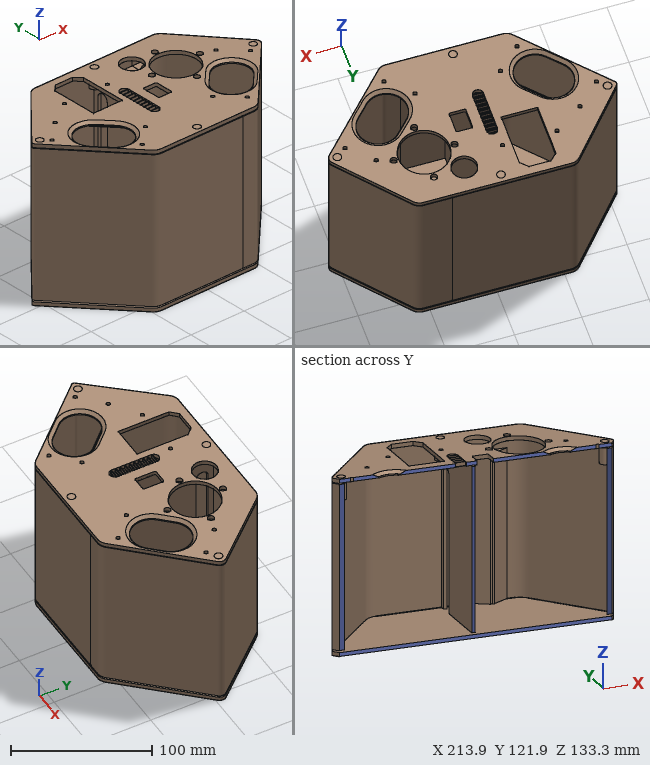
import cadquery as cq
import math

depth_y = 121.86
height_z = 133.29
rear_y = depth_y / 2
front_y = -rear_y

plate_thickness = 3.175
shell_height = 125.0
top_gap = 0.65
top_plate_z = height_z - plate_thickness
shell_top_z = top_plate_z - top_gap
shell_z = shell_top_z - shell_height

rear_half_width = 59.2
front_half_width = 47.3
right_tip_x = 108.714
left_tip_x = -107.707
tip_y = 4.65
right_tip_radius = 5.0
left_tip_radius = 2.2
corner_radius = 9.0

wall = 3.0
inner_rear_radius = 14.3
inner_front_radius = corner_radius - wall
inner_tip_radius = right_tip_radius - wall
seam_x = 33.5

divider_x = -2.5
divider_thickness = 2.7
divider_slot_width = 10.0
divider_slot_y = 48.6
divider_slot_top_z = 113.1

lug_top_z = height_z - 15.6
lug_depth = 7.0
lug_root_width = 14.0
lug_tip_width = 1.5

post_diameter = 6.15
boss_diameter = 8.0
boss_bottom_z = height_z - 16.5
left_tip_post_x = -100.1
right_tip_post_x = 100.7
tip_post_y = 4.8
middle_post_x = -4.6
middle_post_y = 54.9
left_post_centers = [
    (left_tip_post_x, tip_post_y),
    (middle_post_x, middle_post_y),
    (middle_post_x, -middle_post_y),
]
right_post_centers = [(right_tip_post_x, tip_post_y)]

port_mirror_x = -0.3
port_offset = 60.1
port_y = -18.5
port_angle = 46.6
port_straight = 14.0
port_rim_diameter = 36.8
port_throat_diameter = 31.3
port_taper_depth = 2.1
port_taper = math.degrees(math.atan2((port_rim_diameter - port_throat_diameter) / 2, port_taper_depth))

ledge_width = 1.2
ledge_thickness = 0.4

port_screw_diameter = 2.9
port_screw_shift = 3.6
port_screw_spacing_along = 64.0
port_screw_spacing_across = 24.4

driver_center = (41.1, 19.7)
driver_diameter = 38.05
driver_screw_count = 4
driver_screw_diameter = 4.98
driver_screw_circle_radius = 22.6
button_center = (18.1, 40.7)
button_diameter = 19.05

connector_center = (-33.75, 30.9)
connector_width = 27.2
connector_length = 46.9
connector_corner_cut = 5.4
connector_screw_diameter = 2.85
connector_screw_spacing = 40.4

window_center = (7.8, 1.5)
window_width = 12.4
window_length = 17.0
window_corner_radius = 1.0

grille_center = (-10.7, -0.3)
grille_length = 40.0
grille_width = 8.0
bar_count = 10
bar_pitch = 3.69
bar_thickness = 0.65


def sharp_outline(z):
    """Outline with sharp corners at height z."""
    return (
        cq.Workplane("XY", origin=(0, 0, z))
        .moveTo(-front_half_width, front_y)
        .lineTo(front_half_width, front_y)
        .lineTo(right_tip_x, tip_y)
        .lineTo(rear_half_width, rear_y)
        .lineTo(-rear_half_width, rear_y)
        .lineTo(left_tip_x, tip_y)
        .close()
    )


def round_corners(prism, front_radius, rear_radius, left_radius, right_radius):
    """Round the upright edges of a six-sided prism."""
    prism = prism.edges("|Z and <Y").fillet(front_radius)
    prism = prism.edges("|Z and >Y").fillet(rear_radius)
    prism = prism.edges("|Z and <X").fillet(left_radius)
    return prism.edges("|Z and >X").fillet(right_radius)


def outer_prism(z, height):
    prism = sharp_outline(z).extrude(height)
    return round_corners(prism, corner_radius, corner_radius, left_tip_radius, right_tip_radius)


def shell_cavity():
    prism = sharp_outline(shell_z).offset2D(-wall).extrude(shell_height)
    return round_corners(prism, inner_front_radius, inner_rear_radius, inner_tip_radius, inner_tip_radius)


def divider():
    slot_radius = divider_slot_width / 2
    slot_side_top_z = divider_slot_top_z - slot_radius
    slab = cq.Workplane("XY", origin=(divider_x, 0, shell_z)).box(
        divider_thickness, depth_y, shell_height, centered=(False, True, False)
    )
    slot = (
        cq.Workplane("YZ", origin=(divider_x, divider_slot_y, 0))
        .moveTo(-slot_radius, shell_z)
        .lineTo(-slot_radius, slot_side_top_z)
        .threePointArc((0, divider_slot_top_z), (slot_radius, slot_side_top_z))
        .lineTo(slot_radius, shell_z)
        .close()
        .extrude(divider_thickness)
    )
    return slab.intersect(cavity).cut(slot)


def lug(side):
    """Rear lug beside the seam: side is -1 for the left shell and 1 for the right shell."""
    return (
        cq.Workplane("XY", origin=(seam_x, rear_y - wall, shell_z))
        .lineTo(0, -lug_depth)
        .lineTo(side * lug_tip_width, -lug_depth)
        .lineTo(side * lug_root_width, 0)
        .close()
        .extrude(lug_top_z - shell_z)
    )


def add_posts(shell, centers):
    bosses = (
        cq.Workplane("XY", origin=(0, 0, boss_bottom_z))
        .pushPoints(centers)
        .circle(boss_diameter / 2)
        .extrude(shell_top_z - boss_bottom_z)
    )
    posts = (
        cq.Workplane("XY", origin=(0, 0, boss_bottom_z))
        .pushPoints(centers)
        .circle(post_diameter / 2)
        .extrude(height_z - boss_bottom_z)
    )
    return shell.union(bosses).union(posts)


cavity = shell_cavity()
tube = outer_prism(shell_z, shell_height).cut(cavity)
right_of_seam = cq.Workplane("XY", origin=(seam_x, 0, shell_z)).box(
    right_tip_x, depth_y, shell_height, centered=(False, True, False)
)
left_shell = tube.cut(right_of_seam).union(divider()).union(lug(-1))
left_shell = add_posts(left_shell, left_post_centers)
right_shell = tube.intersect(right_of_seam).union(lug(1).intersect(cavity))
right_shell = add_posts(right_shell, right_post_centers)

top_face = cq.Workplane("XY", origin=(0, 0, height_z))


def round_holes(centers, diameter):
    return top_face.pushPoints(centers).circle(diameter / 2).extrude(-plate_thickness)


def port_plane(side):
    """Plane of the top face, centred on a port with its X along the port."""
    port_x = port_mirror_x + side * port_offset
    return top_face.center(port_x, port_y).transformed(rotate=(0, 0, side * port_angle))


def port_opening(side):
    throat_outline = port_plane(side).slot2D(port_straight + port_throat_diameter, port_throat_diameter)
    throat = throat_outline.extrude(-plate_thickness)
    rim_outline = port_plane(side).slot2D(port_straight + port_rim_diameter, port_rim_diameter)
    rim = rim_outline.extrude(-port_taper_depth, taper=port_taper)
    return throat.union(rim)


def port_screw_holes(side):
    return (
        port_plane(side)
        .center(side * port_screw_shift, 0)
        .rect(port_screw_spacing_along, port_screw_spacing_across, forConstruction=True)
        .vertices()
        .circle(port_screw_diameter / 2)
        .extrude(-plate_thickness)
    )


def left_port_ledge():
    return (
        port_plane(-1)
        .workplane(offset=-plate_thickness)
        .center(0, (port_throat_diameter - ledge_width) / 2)
        .rect(port_straight + port_throat_diameter, ledge_width)
        .extrude(ledge_thickness)
    )


def driver_screw_holes():
    return (
        top_face.center(*driver_center)
        .polarArray(driver_screw_circle_radius, 0, 360, driver_screw_count)
        .circle(driver_screw_diameter / 2)
        .extrude(-plate_thickness)
    )


def connector_opening():
    outline = top_face.center(*connector_center).rect(connector_width, connector_length)
    opening = outline.extrude(-plate_thickness)
    return opening.edges("|Z and >Y").chamfer(connector_corner_cut)


def connector_screw_holes():
    return (
        top_face.center(*connector_center)
        .rarray(connector_screw_spacing, 1, 2, 1)
        .circle(connector_screw_diameter / 2)
        .extrude(-plate_thickness)
    )


def window():
    opening = top_face.center(*window_center).rect(window_width, window_length).extrude(-plate_thickness)
    return opening.edges("|Z").fillet(window_corner_radius)


def grille():
    plane = top_face.center(*grille_center)
    slot = plane.slot2D(grille_length, grille_width, 90).extrude(-plate_thickness)
    bar_outlines = plane.rarray(1, bar_pitch, 1, bar_count).rect(grille_width, bar_thickness)
    bars = bar_outlines.extrude(-plate_thickness)
    return slot.cut(bars)


top_plate = outer_prism(top_plate_z, plate_thickness)
top_plate = top_plate.cut(port_opening(-1).cut(left_port_ledge()))
top_plate = top_plate.cut(port_opening(1))
for port_side in (-1, 1):
    top_plate = top_plate.cut(port_screw_holes(port_side))
top_plate = top_plate.cut(round_holes([driver_center], driver_diameter))
top_plate = top_plate.cut(driver_screw_holes())
top_plate = top_plate.cut(round_holes([button_center], button_diameter))
top_plate = top_plate.cut(connector_opening())
top_plate = top_plate.cut(connector_screw_holes())
top_plate = top_plate.cut(window())
top_plate = top_plate.cut(grille())
top_plate = top_plate.cut(round_holes(left_post_centers + right_post_centers, post_diameter))

bottom_plate = outer_prism(0, plate_thickness)

result = cq.Compound.makeCompound(
    [
        top_plate.solids().val(),
        left_shell.solids().val(),
        right_shell.solids().val(),
        bottom_plate.solids().val(),
    ]
)